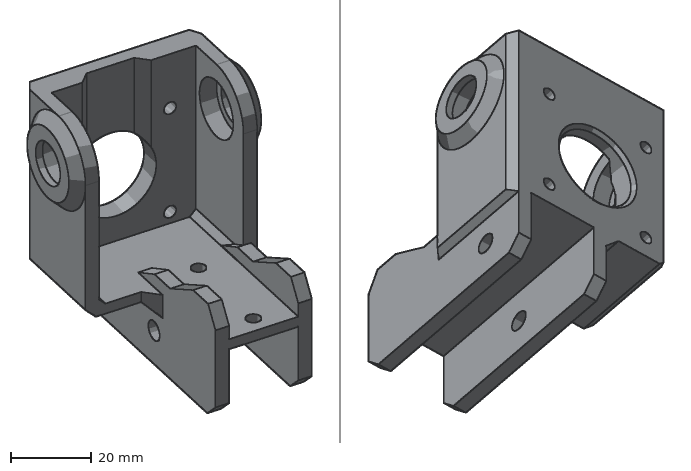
import cadquery as cq

LENGTH = 60.0
WIDTH = 56.0
HEIGHT = 73.65
THICKNESS = 4.0

BOSS_HEIGHT = 3.0
FLANGE_DEPTH = 30.3
WALL = 7.1
BOSS_RADIUS = 13.25
BOSS_TAPER = 45
PIVOT_X = FLANGE_DEPTH - BOSS_RADIUS
PIVOT_Z = HEIGHT - BOSS_RADIUS
NEAR_Y = BOSS_HEIGHT
FAR_Y = WIDTH - BOSS_HEIGHT
INNER_NEAR_Y = NEAR_Y + THICKNESS
INNER_FAR_Y = FAR_Y - THICKNESS
EDGE_CHAMFER_X = 3.0
EDGE_CHAMFER_Y = 1.8
PIVOT_HOLE_DIAMETER = 12.0
BEARING_DIAMETER = 16.5
BEARING_DEPTH = 5.0

FLOOR_BOTTOM = 20.0
FLOOR_THICKNESS = 3.0
FLOOR_TOP = FLOOR_BOTTOM + FLOOR_THICKNESS
FLOOR_EDGE_CHAMFER = 3.0
INNER_BEVEL = 1.85
FLOOR_HOLE_DIAMETER = 4.0
FLOOR_HOLES_X = (28.1, 54.95)

NEAR_PLATE_Y = 23.1
PLATE_PITCH = 24.1
FAR_PLATE_Y = NEAR_PLATE_Y + PLATE_PITCH
PLATE_CHAMFER = 4.0
SHOULDER_Z = 27.0
CREST_Z = 32.9
RAMP_START_X = 22.25
CREST_RAMP_X = 37.9
CREST_START_X = 49.1
CREST_END_X = 56.4
NEAR_PIN_X = 30.0
FAR_PIN_X = 13.25
PIN_Z = 10.0
PIN_DIAMETER = 5.5

GUSSET = 3.9

MOTOR_Y = 25.9
MOTOR_Z = 42.0
MOTOR_BORE_DIAMETER = 23.0
MOTOR_CHAMFER = 1.0
MOTOR_HOLE_PITCH = 31.0
MOTOR_HOLE_DIAMETER = 3.5
SLOT_DEPTH = 3.1
SLOT_INNER_WIDTH = 13.85


def extrude_y(points, y_start, y_end):
    """Prism of an XZ outline between two Y positions."""
    return cq.Workplane("XZ", origin=(0, y_start, 0)).polyline(points).close().extrude(y_start - y_end)


def extrude_x(points, x_end):
    """Prism of a YZ outline from X = 0."""
    return cq.Workplane("YZ").polyline(points).close().extrude(x_end)


def cylinder_y(diameter, x, z, y_start, y_end):
    """Cylinder along Y between two Y positions."""
    return cq.Workplane("XZ", origin=(x, y_start, z)).circle(diameter / 2).extrude(y_start - y_end)


def make_bracket():
    outline = (
        cq.Workplane("XZ", origin=(0, NEAR_Y, 0))
        .moveTo(0, FLOOR_BOTTOM)
        .lineTo(FLANGE_DEPTH, FLOOR_BOTTOM)
        .lineTo(FLANGE_DEPTH, PIVOT_Z)
        .radiusArc((PIVOT_X, HEIGHT), -BOSS_RADIUS)
        .lineTo(0, HEIGHT)
        .close()
        .extrude(NEAR_Y - FAR_Y)
    )
    hollow = extrude_x(
        [
            (INNER_NEAR_Y + INNER_BEVEL, FLOOR_TOP),
            (INNER_FAR_Y - INNER_BEVEL, FLOOR_TOP),
            (INNER_FAR_Y, FLOOR_TOP + INNER_BEVEL),
            (INNER_FAR_Y, HEIGHT),
            (INNER_NEAR_Y, HEIGHT),
            (INNER_NEAR_Y, FLOOR_TOP + INNER_BEVEL),
        ],
        LENGTH,
    ).intersect(cq.Workplane("XY").box(LENGTH, WIDTH, HEIGHT, centered=False).translate((WALL, 0, 0)))
    return outline.cut(hollow)


def bottom_cutter():
    """Wedge that bevels the bottom edge of the near flange."""
    return extrude_x(
        [
            (NEAR_Y, FLOOR_BOTTOM),
            (NEAR_Y + FLOOR_EDGE_CHAMFER, FLOOR_BOTTOM),
            (NEAR_Y, FLOOR_BOTTOM + FLOOR_EDGE_CHAMFER),
        ],
        FLANGE_DEPTH,
    )


def edge_cutter(y, inward):
    """Wedge that bevels one vertical edge of the back wall."""
    points = [(0, y), (EDGE_CHAMFER_X, y), (0, y + inward * EDGE_CHAMFER_Y)]
    return cq.Workplane("XY").polyline(points).close().extrude(HEIGHT)


def make_boss(y, direction):
    """Conical boss on the outer face of a flange."""
    face = cq.Plane(origin=(PIVOT_X, y, PIVOT_Z), xDir=(1, 0, 0), normal=(0, direction, 0))
    return cq.Workplane(face).circle(BOSS_RADIUS).extrude(BOSS_HEIGHT, taper=BOSS_TAPER)


def make_plate(y):
    points = [
        (PLATE_CHAMFER, 0),
        (LENGTH - PLATE_CHAMFER, 0),
        (LENGTH, PLATE_CHAMFER),
        (LENGTH, SHOULDER_Z),
        (CREST_END_X, CREST_Z),
        (CREST_START_X, CREST_Z),
        (CREST_RAMP_X, SHOULDER_Z),
        (FLANGE_DEPTH, SHOULDER_Z),
        (RAMP_START_X, FLOOR_TOP),
        (RAMP_START_X, FLOOR_BOTTOM),
        (0, FLOOR_BOTTOM),
        (0, PLATE_CHAMFER),
    ]
    return extrude_y(points, y, y + THICKNESS)


def make_gusset(plate_face, outward, size):
    """Sloped strip under the floor that turns up around the end of the floor."""
    strip = extrude_x(
        [
            (plate_face, FLOOR_BOTTOM - size),
            (plate_face + outward * size, FLOOR_BOTTOM),
            (plate_face + outward * size, FLOOR_TOP),
            (plate_face, FLOOR_TOP),
        ],
        FLANGE_DEPTH + size,
    )
    plan = [
        (0, plate_face),
        (FLANGE_DEPTH + size, plate_face),
        (FLANGE_DEPTH, plate_face + outward * size),
        (0, plate_face + outward * size),
    ]
    return strip.intersect(cq.Workplane("XY").polyline(plan).close().extrude(HEIGHT))


def cut_motor_mount(body):
    face = cq.Workplane("YZ", origin=(0, MOTOR_Y, MOTOR_Z))
    bore = face.circle(MOTOR_BORE_DIAMETER / 2).extrude(WALL)
    lip = (
        face.circle(MOTOR_BORE_DIAMETER / 2 + MOTOR_CHAMFER)
        .workplane(offset=MOTOR_CHAMFER)
        .circle(MOTOR_BORE_DIAMETER / 2)
        .loft()
    )
    screws = (
        face.rect(MOTOR_HOLE_PITCH, MOTOR_HOLE_PITCH, forConstruction=True)
        .vertices()
        .circle(MOTOR_HOLE_DIAMETER / 2)
        .extrude(WALL)
    )
    half_width = SLOT_INNER_WIDTH / 2
    slot = (
        cq.Workplane("XY", origin=(0, MOTOR_Y, MOTOR_Z))
        .polyline(
            [
                (WALL - SLOT_DEPTH, -half_width),
                (WALL, -half_width - SLOT_DEPTH),
                (WALL, half_width + SLOT_DEPTH),
                (WALL - SLOT_DEPTH, half_width),
            ]
        )
        .close()
        .extrude(HEIGHT - MOTOR_Z)
    )
    return body.cut(bore).cut(lip).cut(screws).cut(slot)


def cut_pivot_holes(body):
    body = body.cut(cylinder_y(PIVOT_HOLE_DIAMETER, PIVOT_X, PIVOT_Z, 0, WIDTH))
    seat_start = INNER_NEAR_Y - BEARING_DEPTH
    seat_end = INNER_FAR_Y + BEARING_DEPTH
    return body.cut(cylinder_y(BEARING_DIAMETER, PIVOT_X, PIVOT_Z, seat_start, seat_end))


result = make_bracket()
result = result.cut(bottom_cutter()).cut(edge_cutter(NEAR_Y, 1)).cut(edge_cutter(FAR_Y, -1))
result = result.union(make_boss(NEAR_Y, -1)).union(make_boss(FAR_Y, 1))

result = result.union(
    cq.Workplane("XY", origin=(FLANGE_DEPTH, NEAR_PLATE_Y, FLOOR_BOTTOM))
    .box(LENGTH - FLANGE_DEPTH, PLATE_PITCH + THICKNESS, FLOOR_THICKNESS, centered=False)
)
for plate_y in (NEAR_PLATE_Y, FAR_PLATE_Y):
    result = result.union(make_plate(plate_y))

far_plate_face = FAR_PLATE_Y + THICKNESS
result = result.union(make_gusset(NEAR_PLATE_Y, -1, GUSSET))
far_gusset = make_gusset(far_plate_face, 1, FAR_Y - far_plate_face)
result = result.union(far_gusset.cut(edge_cutter(FAR_Y, -1)))

result = cut_motor_mount(result)
result = cut_pivot_holes(result)

floor_hole_y = NEAR_PLATE_Y + (PLATE_PITCH + THICKNESS) / 2
for hole_x in FLOOR_HOLES_X:
    hole = cq.Workplane("XY", origin=(hole_x, floor_hole_y, 0)).circle(FLOOR_HOLE_DIAMETER / 2)
    result = result.cut(hole.extrude(HEIGHT))

for pin_x, plate_y in ((NEAR_PIN_X, NEAR_PLATE_Y), (FAR_PIN_X, FAR_PLATE_Y)):
    result = result.cut(cylinder_y(PIN_DIAMETER, pin_x, PIN_Z, plate_y, plate_y + THICKNESS))